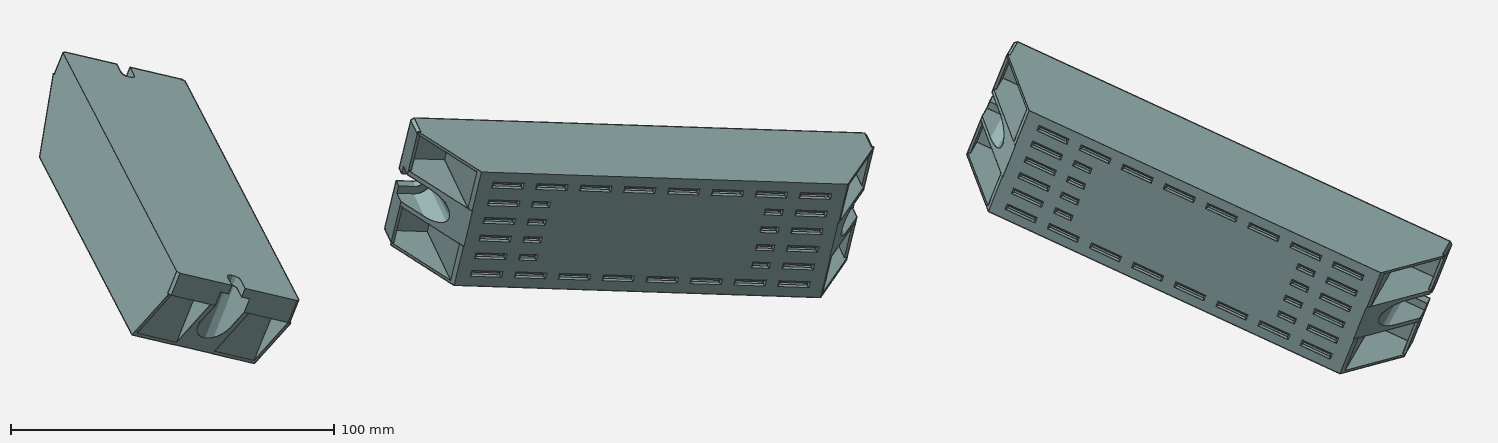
import cadquery as cq
import math

length = 149.5
width = 41.8
height = 30.2
cap_height = 7.9
end_inset = 14.7
wall = 1.0
corner_chamfer = 1.0

rib_width = 13.0
left_toe_run = 3.1
right_toe_run = 0.6
toe_inset = 0.2
slot_width = 4.5
slot_reach = 7.7
bore_diameter = 9.9
bore_shoulder = 3.1

vent_length = 10.2
short_vent_length = 5.9
vent_width = 2.2
vent_chamfer = 0.54
chamfer_angle = 45
vent_depth = 1.5
vent_columns = 8
vent_rows = 6
vent_column_pitch = 14.4
vent_row_pitch = 6.5

tilt_x = -23.4
tilt_y = -9.5
tilt_z = -17.6

half_length = length / 2
half_width = width / 2
base_half_length = half_length - end_inset
cap_bottom = height - cap_height


def box(x_min, x_max, y_min, y_max, z_min, z_max):
    """Block between the given limits."""
    size = (x_max - x_min, y_max - y_min, z_max - z_min)
    return cq.Workplane("XY").box(*size, centered=False).translate((x_min, y_min, z_min))


def make_body():
    """Side outline with upright cap ends and sloped lower ends, extruded across the width."""
    outline = [
        (-base_half_length, 0),
        (base_half_length, 0),
        (half_length, cap_bottom),
        (half_length, height),
        (-half_length, height),
        (-half_length, cap_bottom),
    ]
    body = cq.Workplane("XZ").polyline(outline).close().extrude(half_width, both=True)
    cap_blank = box(-half_length, half_length, -half_width, half_width, cap_bottom, height)
    cap_chamfered = cap_blank.edges("|Z").chamfer(corner_chamfer)
    return body.cut(cap_blank.cut(cap_chamfered))


def make_end_pockets():
    """Two pockets in the +X end, either side of a central rib, reaching up behind the cap."""
    floor_x = base_half_length + wall
    inner_y = rib_width / 2
    outer_y = half_width - wall
    below_cap = box(floor_x, half_length, inner_y, outer_y, 0, cap_bottom)
    behind_cap = box(floor_x, half_length - wall, inner_y, outer_y, cap_bottom, height - wall)
    pocket = below_cap.union(behind_cap)
    return pocket.union(pocket.mirror("XZ"))


def make_rib_toe(slope_run, base_inset):
    """Sliver removed to round the foot of the +X rib with an arc that runs on smoothly from its slope."""
    slope_angle = math.atan2(cap_bottom, end_inset)
    arc_start = (
        base_half_length + slope_run * math.cos(slope_angle),
        slope_run * math.sin(slope_angle),
    )
    arc_end = (base_half_length - base_inset, 0)
    along_slope = slope_run + base_inset * math.cos(slope_angle)
    off_slope = base_inset * math.sin(slope_angle)
    radius = (along_slope**2 + off_slope**2) / (2 * off_slope)
    return (
        cq.Workplane("XZ")
        .moveTo(*arc_start)
        .lineTo(base_half_length, 0)
        .lineTo(*arc_end)
        .radiusArc(arc_start, -radius)
        .close()
        .extrude(rib_width / 2, both=True)
    )


def make_open_slot(slot, z_min, z_max):
    """Slot of the given width, round at its inner end and open through the +X end."""
    centre_x = half_length - slot_reach + slot_width / 2
    round_end = cq.Workplane("XY", origin=(centre_x, 0, z_min)).circle(slot / 2).extrude(z_max - z_min)
    return round_end.union(box(centre_x, half_length + wall, -slot / 2, slot / 2, z_min, z_max))


def make_end_cuts(toe_run):
    """Everything removed from the +X end, in cutting order."""
    screw_slot = make_open_slot(slot_width, 0, height)
    head_bore = make_open_slot(bore_diameter, 0, height - bore_shoulder)
    return [make_rib_toe(toe_run, toe_inset), make_end_pockets(), screw_slot.union(head_bore)]


def cut_vent_group(body, centres, mouth_length):
    """Blind slots of one length, each with a chamfered mouth in the base."""
    slot_length = mouth_length - 2 * vent_chamfer
    slot_breadth = vent_width - 2 * vent_chamfer
    slots = cq.Workplane("XY").pushPoints(centres).rect(slot_length, slot_breadth)
    mouths = cq.Workplane("XY").pushPoints(centres).rect(mouth_length, vent_width)
    return body.cut(slots.extrude(vent_depth)).cut(mouths.extrude(vent_chamfer, taper=chamfer_angle))


def cut_vents(body):
    """Chamfered slots in the base: a full frame around the base, with short ones beside the end columns."""
    last_column = vent_columns - 1
    last_row = vent_rows - 1
    long_centres = []
    short_centres = []
    for column in range(vent_columns):
        x = (column - last_column / 2) * vent_column_pitch
        for row in range(vent_rows):
            y = (row - last_row / 2) * vent_row_pitch
            if column in (0, last_column) or row in (0, last_row):
                long_centres.append((x, y))
            elif column in (1, last_column - 1):
                shift = (vent_length - short_vent_length) / 2
                short_centres.append((x - shift if column == 1 else x + shift, y))
    body = cut_vent_group(body, long_centres, vent_length)
    return cut_vent_group(body, short_centres, short_vent_length)


housing = cut_vents(make_body())
for cutter in make_end_cuts(right_toe_run):
    housing = housing.cut(cutter)
for cutter in make_end_cuts(left_toe_run):
    housing = housing.cut(cutter.mirror("YZ"))

result = (
    housing.rotate((0, 0, 0), (1, 0, 0), tilt_x)
    .rotate((0, 0, 0), (0, 1, 0), tilt_y)
    .rotate((0, 0, 0), (0, 0, 1), tilt_z)
)